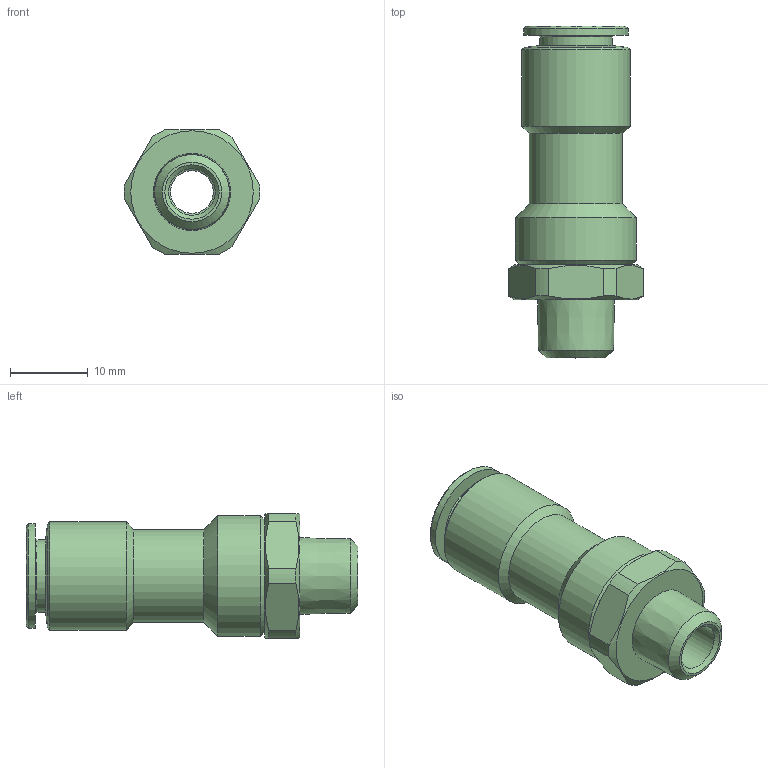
import cadquery as cq
import math

total_length = 42.8

spigot_length = 7.5
spigot_root_radius = 4.97
spigot_front_radius = 4.83
nose_chamfer = 1.0

hex_sides = 6
hex_across_flats = 16.0
hex_corner_radius = 8.745
hex_thickness = 4.5
hex_face_radius = 7.9
hex_chamfer_angle = 30.0

shoulder_radius = 7.8
shoulder_bevel = 0.6
shoulder_end = 18.1
waist_radius = 6.0
socket_start = 29.0
socket_radius = 7.0
socket_end = 40.25
socket_bevel_length = 0.85
socket_edge_chamfer = 0.3
socket_crown_length = 0.2
socket_crown_radius = 4.95

neck_radius = 4.7
collar_radius = 6.75
collar_thickness = 1.2
collar_edge_chamfer = 0.3
collar_root_bevel = 0.2

bore_radius = 2.75
countersink_radius = 3.5
countersink_depth = 0.5
nose_bore_radius = 3.0
nose_bore_depth = 7.5
drill_point_angle = 118.0

hex_end = spigot_length + hex_thickness
collar_start = total_length - collar_thickness


def revolve_about_y(outline):
    """Revolve a closed (radius, y) outline a full turn about the Y axis."""
    return cq.Workplane("XY").polyline(outline).close().revolve(360, (0, 0, 0), (0, 1, 0))


def make_spigot():
    """Tapered threaded end, its thread left as a plain cone."""
    return revolve_about_y([
        (0, 0),
        (spigot_front_radius - nose_chamfer, 0),
        (spigot_front_radius, nose_chamfer),
        (spigot_root_radius, spigot_length),
        (0, spigot_length),
    ])


def make_hex_flange():
    """Hexagon with rounded corners, chamfered on both faces."""
    across_corners = hex_across_flats / math.cos(math.pi / hex_sides)
    prism = (
        cq.Workplane("XZ", origin=(0, spigot_length, 0))
        .polygon(hex_sides, across_corners)
        .extrude(-hex_thickness)
    )
    chamfer_length = (hex_corner_radius - hex_face_radius) * math.tan(math.radians(hex_chamfer_angle))
    envelope = revolve_about_y([
        (0, spigot_length),
        (hex_face_radius, spigot_length),
        (hex_corner_radius, spigot_length + chamfer_length),
        (hex_corner_radius, hex_end - chamfer_length),
        (hex_face_radius, hex_end),
        (0, hex_end),
    ])
    return prism.intersect(envelope)


def make_body():
    """Shoulder, narrower waist and tube socket with a shallow conical end."""
    shoulder_cone_end = shoulder_end + shoulder_radius - waist_radius
    crown_base = socket_end - socket_crown_length
    return revolve_about_y([
        (0, hex_end),
        (shoulder_radius - shoulder_bevel, hex_end),
        (shoulder_radius, hex_end + shoulder_bevel),
        (shoulder_radius, shoulder_end),
        (waist_radius, shoulder_cone_end),
        (waist_radius, socket_start),
        (socket_radius, socket_start + socket_bevel_length),
        (socket_radius, crown_base - socket_edge_chamfer),
        (socket_radius - socket_edge_chamfer, crown_base),
        (socket_crown_radius, socket_end),
        (0, socket_end),
    ])


def make_collar():
    """Release collar on its neck."""
    return revolve_about_y([
        (0, socket_end),
        (neck_radius, socket_end),
        (neck_radius, collar_start - collar_root_bevel),
        (neck_radius + collar_root_bevel, collar_start),
        (collar_radius, collar_start),
        (collar_radius, total_length - collar_edge_chamfer),
        (collar_radius - collar_edge_chamfer, total_length),
        (0, total_length),
    ])


def make_bore():
    """Countersunk nose bore stepping down to the through bore."""
    drill_cone_length = (nose_bore_radius - bore_radius) / math.tan(math.radians(drill_point_angle / 2))
    return revolve_about_y([
        (0, 0),
        (countersink_radius, 0),
        (nose_bore_radius, countersink_depth),
        (nose_bore_radius, nose_bore_depth),
        (bore_radius, nose_bore_depth + drill_cone_length),
        (bore_radius, total_length),
        (0, total_length),
    ])


outside = make_spigot().union(make_hex_flange()).union(make_body()).union(make_collar())
result = outside.cut(make_bore())